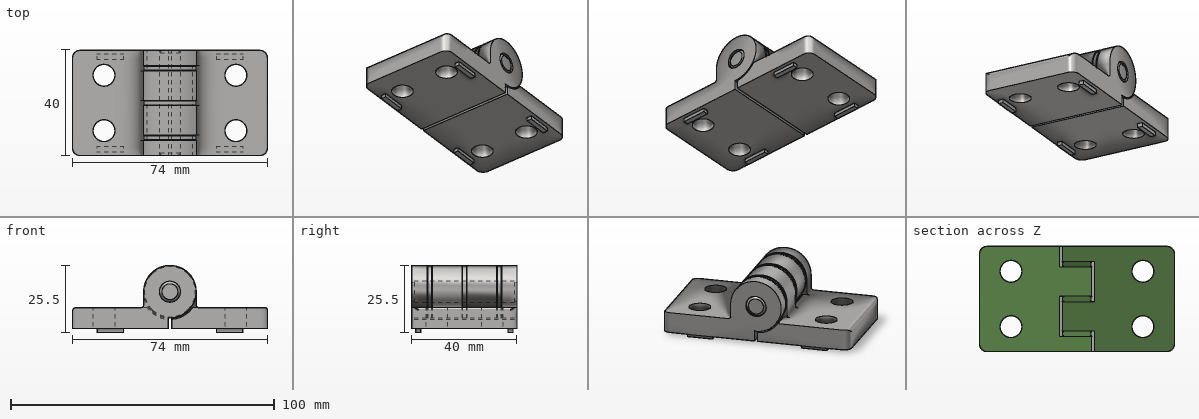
import cadquery as cq

hinge_length = 74.0
hinge_width = 40.0
leaf_thickness = 8.0
leaf_gap = 1.2
corner_radius = 3.0
left_edge_radius = 1.5
right_edge_radius = 1.0

axis_height = 14.0
knuckle_radius = 10.0
knuckle_clearance = 0.5
knuckle_root_radius = 1.0
washer_thickness = 2.0
end_knuckle_width = 5.85
washer_count = 3
inner_knuckle_width = (hinge_width - 2 * end_knuckle_width - washer_count * washer_thickness) / 2
knuckle_widths = [end_knuckle_width, inner_knuckle_width, inner_knuckle_width, end_knuckle_width]

washer_diameter = 19.8
washer_edge_chamfer = 0.3
pin_diameter = 8.0
pin_chamfer = 1.0

hole_diameter = 8.2
hole_x = 25.0
hole_spacing_y = 21.0
tab_length = 10.0
tab_width = 2.0
tab_height = 1.5
tab_x = 22.6
tab_spacing_y = 35.0


def axis_cylinder(radius, start_y, width):
    """Cylinder on the hinge axis, from start_y towards +Y."""
    return (
        cq.Workplane("XZ", origin=(0, start_y, axis_height))
        .circle(radius)
        .extrude(-width)
    )


def knuckle_start(index):
    """Y position of the -Y face of a knuckle."""
    return -hinge_width / 2 + sum(knuckle_widths[:index]) + index * washer_thickness


def make_plate(edge_radius):
    """Flat plate with rounded outer corners and a rounded outer top edge."""
    inner_x = -leaf_gap / 2
    outer_x = -hinge_length / 2
    profile = (
        cq.Workplane("XZ", origin=(0, hinge_width / 2, 0))
        .moveTo(inner_x, 0)
        .lineTo(outer_x, 0)
        .lineTo(outer_x, leaf_thickness - edge_radius)
        .radiusArc((outer_x + edge_radius, leaf_thickness), edge_radius)
        .lineTo(inner_x, leaf_thickness)
        .close()
        .extrude(hinge_width)
    )
    rounded_outline = (
        cq.Workplane("XY")
        .box(hinge_length, hinge_width, leaf_thickness, centered=(True, True, False))
        .edges("|Z")
        .fillet(corner_radius)
    )
    return profile.intersect(rounded_outline)


def make_knuckle(index):
    """Round knuckle with a straight back wall and a small fillet onto the plate."""
    start_y = knuckle_start(index)
    width = knuckle_widths[index]
    root = (
        cq.Workplane("XZ", origin=(0, start_y, 0))
        .moveTo(-leaf_gap / 2, axis_height)
        .lineTo(-knuckle_radius, axis_height)
        .lineTo(-knuckle_radius, leaf_thickness + knuckle_root_radius)
        .radiusArc((-knuckle_radius - knuckle_root_radius, leaf_thickness), knuckle_root_radius)
        .lineTo(-leaf_gap / 2, leaf_thickness)
        .close()
        .extrude(-width)
    )
    return axis_cylinder(knuckle_radius, start_y, width).union(root)


def make_leaf(edge_radius):
    """Leaf on the -X side, with the first and third knuckles."""
    swing_clearance = axis_cylinder(knuckle_radius + knuckle_clearance, -hinge_width / 2, hinge_width)
    plate = make_plate(edge_radius)
    leaf = plate.cut(swing_clearance)
    for index in (0, 2):
        start_y = knuckle_start(index)
        width = knuckle_widths[index]
        knuckle_band = (
            cq.Workplane("XY", origin=(0, start_y, 0))
            .box(hinge_length, width, leaf_thickness, centered=(True, False, False))
        )
        leaf = leaf.union(plate.intersect(knuckle_band)).union(make_knuckle(index))

    tabs = (
        cq.Workplane("XY", origin=(-tab_x, 0, -tab_height))
        .rarray(1, tab_spacing_y, 1, 2)
        .rect(tab_length, tab_width)
        .extrude(tab_height)
    )
    mounting_holes = (
        cq.Workplane("XY", origin=(-hole_x, 0, 0))
        .rarray(1, hole_spacing_y, 1, 2)
        .circle(hole_diameter / 2)
        .extrude(leaf_thickness)
    )
    pin_bore = axis_cylinder(pin_diameter / 2, -hinge_width / 2, hinge_width)
    return leaf.union(tabs).cut(mounting_holes).cut(pin_bore)


def make_washer(index):
    """Spacer washer between a knuckle and the next one."""
    start_y = knuckle_start(index) + knuckle_widths[index]
    disc = (
        axis_cylinder(washer_diameter / 2, start_y, washer_thickness)
        .edges("%CIRCLE")
        .chamfer(washer_edge_chamfer)
    )
    return disc.cut(axis_cylinder(pin_diameter / 2, start_y, washer_thickness))


def make_pin():
    """Hinge pin, flush with both end knuckles and chamfered at both ends."""
    return axis_cylinder(pin_diameter / 2, -hinge_width / 2, hinge_width).edges("%CIRCLE").chamfer(pin_chamfer)


left_leaf = make_leaf(left_edge_radius)
right_leaf = make_leaf(right_edge_radius).rotate((0, 0, 0), (0, 0, 1), 180)
washers = [make_washer(index) for index in range(washer_count)]
pin = make_pin()

result = cq.Compound.makeCompound(
    [left_leaf.val(), right_leaf.val(), pin.val(), *[washer.val() for washer in washers]]
)